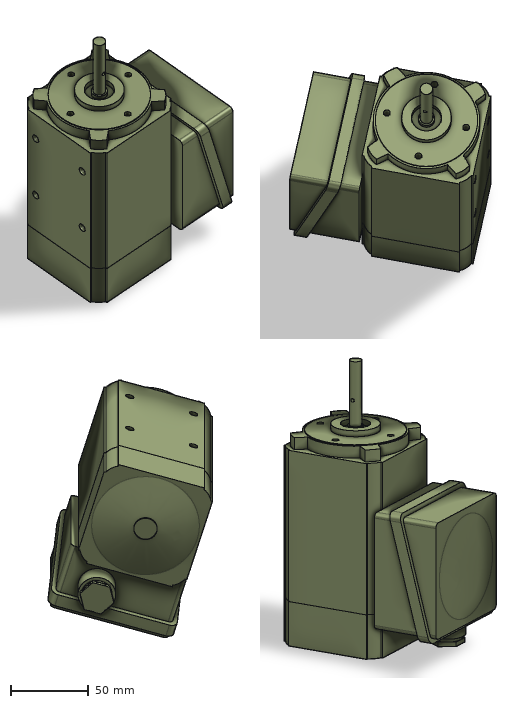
import cadquery as cq


MOTOR_HALF_WIDTH = 36.5
FLAT_HALF_WIDTH = 29.0
PAD_HEIGHT = 1.2
ARC_END = MOTOR_HALF_WIDTH - PAD_HEIGHT
CORNER_RADIUS = 13.5
HOUSING_LENGTH = 102.5
CAP_LENGTH = 30.2

MOUNT_HOLE_RADIUS = 2.7
MOUNT_HOLE_DEPTH = 9.7
MOUNT_HOLE_X = 21.5
MOUNT_HOLE_LEVELS = (-21.3, -71.4)

CAP_DOME_RADIUS = 34.8
CAP_DOME_RISE = 4.3
BUTTON_RADIUS = 7.5
BUTTON_DEPTH = 0.8

FLANGE_RADIUS = 34.5
FLANGE_THICKNESS = 8.1
LUG_ROOT_WIDTH = 12.4
LUG_ROOT_DISTANCE = 33.9
LUG_TIP_WIDTH = 10.5
LUG_TIP_DISTANCE = 42.2
LUG_END_RADIUS = 17.5
FACE_RADIUS = 33.0
FACE_TOP = 8.7
BOSS_RADIUS = 16.0
BOSS_TOP = 12.8
RECESS_RADIUS = 9.7
RECESS_DEPTH = 3.9
FLANGE_HOLE_RADIUS = 2.1
FLANGE_HOLE_CIRCLE = 26.1

SHAFT_RADIUS = 4.0
SHAFT_TOP = 55.7
COLLAR_RADIUS = 5.2
COLLAR_TOP = 11.6
PIN_HOLE_RADIUS = 1.2
PIN_HOLE_LEVEL = 29.5

BOX_WIDTH = 79.0
BOX_DEPTH = 45.7
BOX_EDGE_RADIUS = 3.0
BOX_CENTER_Z = -71.2
BOX_FACE_Y = MOTOR_HALF_WIDTH + BOX_DEPTH
BOX_BOTTOM = BOX_CENTER_Z - BOX_WIDTH / 2
BOX_DOME_RADIUS = 34.8
BOX_DOME_RISE = 2.7

BAND_WIDTH = 85.0
BAND_EDGE_RADIUS = 5.0
BAND_TILT = 15.0
BAND_THICKNESS = 7.7
BAND_CENTER_Y = 64.0

GLAND_X = -15.0
GLAND_Y = 59.5
GLAND_RADIUS = 12.2
GLAND_LENGTH = 14.0
NUT_ACROSS_FLATS = 20.0
NECK_LENGTH = 2.7
NUT_LENGTH = 3.0


def cylinder(radius, bottom, top):
    """A cylinder around the Z axis."""
    return cq.Workplane("XY").workplane(offset=bottom).circle(radius).extrude(top - bottom)


def dome(radius, rise):
    """A shallow spherical cap on the XY plane, rising towards +Z."""
    ball_radius = (radius**2 + rise**2) / (2 * rise)
    profile = (
        cq.Workplane("XZ")
        .lineTo(radius, 0)
        .radiusArc((0, rise), -ball_radius)
        .close()
    )
    return profile.revolve(360, (0, 0), (0, 1))


def motor_section(bottom, top):
    """A length of the motor outline: a rounded square with a raised pad on each side."""
    outline = cq.Workplane("XY").workplane(offset=bottom).moveTo(FLAT_HALF_WIDTH, -MOTOR_HALF_WIDTH)
    corner = [
        (FLAT_HALF_WIDTH, -MOTOR_HALF_WIDTH),
        (FLAT_HALF_WIDTH, -ARC_END),
        (ARC_END, -FLAT_HALF_WIDTH),
        (MOTOR_HALF_WIDTH, -FLAT_HALF_WIDTH),
    ]
    for turn in range(4):
        pad_end, arc_start, arc_end, next_pad = corner
        if turn > 0:
            outline = outline.lineTo(*pad_end)
        outline = outline.lineTo(*arc_start).radiusArc(arc_end, -CORNER_RADIUS).lineTo(*next_pad)
        corner = [(-y, x) for x, y in corner]
    return outline.close().extrude(top - bottom)


def make_housing():
    """Motor housing with four blind mounting holes in its -Y side."""
    holes = (
        cq.Workplane("XZ", origin=(0, -MOTOR_HALF_WIDTH, 0))
        .pushPoints([(x, z) for x in (-MOUNT_HOLE_X, MOUNT_HOLE_X) for z in MOUNT_HOLE_LEVELS])
        .circle(MOUNT_HOLE_RADIUS)
        .extrude(-MOUNT_HOLE_DEPTH)
    )
    return motor_section(-HOUSING_LENGTH, 0).cut(holes)


def make_rear_cap():
    """Rear cap with a domed bottom and a round button in the middle of the dome."""
    cap_bottom = -HOUSING_LENGTH - CAP_LENGTH
    button_bottom = cap_bottom - CAP_DOME_RISE - BUTTON_DEPTH
    bottom_dome = dome(CAP_DOME_RADIUS, CAP_DOME_RISE).rotate((0, 0, 0), (1, 0, 0), 180)
    return (
        motor_section(cap_bottom, -HOUSING_LENGTH)
        .union(bottom_dome.translate((0, 0, cap_bottom)))
        .union(cylinder(BUTTON_RADIUS, button_bottom, cap_bottom))
    )


def make_lug():
    """One flange lug along +X: it narrows outwards to a rounded end and starts at the shaft axis."""
    taper = (LUG_ROOT_WIDTH - LUG_TIP_WIDTH) / (LUG_TIP_DISTANCE - LUG_ROOT_DISTANCE)
    axis_half_width = (LUG_ROOT_WIDTH + taper * LUG_ROOT_DISTANCE) / 2
    tip_half_width = LUG_TIP_WIDTH / 2
    return (
        cq.Workplane("XY")
        .moveTo(0, -axis_half_width)
        .lineTo(LUG_TIP_DISTANCE, -tip_half_width)
        .radiusArc((LUG_TIP_DISTANCE, tip_half_width), -LUG_END_RADIUS)
        .lineTo(0, axis_half_width)
        .close()
        .extrude(FLANGE_THICKNESS)
    )


def make_flange():
    """Round flange with four corner lugs, a raised face and a recessed boss around the shaft."""
    screw_holes = (
        cq.Workplane("XY")
        .polarArray(FLANGE_HOLE_CIRCLE, 0, 360, 4)
        .circle(FLANGE_HOLE_RADIUS)
        .extrude(FACE_TOP)
    )
    plate = cylinder(FLANGE_RADIUS, 0, FLANGE_THICKNESS)
    for angle in (45, 135, 225, 315):
        plate = plate.union(make_lug().rotate((0, 0, 0), (0, 0, 1), angle))
    return (
        plate
        .union(cylinder(FACE_RADIUS, 0, FACE_TOP))
        .union(cylinder(BOSS_RADIUS, 0, BOSS_TOP))
        .cut(cylinder(RECESS_RADIUS, BOSS_TOP - RECESS_DEPTH, BOSS_TOP))
        .cut(cylinder(COLLAR_RADIUS, 0, BOSS_TOP))
        .cut(screw_holes)
    )


def make_shaft():
    """Output shaft with a collar inside the flange and a cross hole for a pin."""
    pin_hole = (
        cq.Workplane("YZ")
        .center(0, PIN_HOLE_LEVEL)
        .circle(PIN_HOLE_RADIUS)
        .extrude(SHAFT_RADIUS, both=True)
    )
    return (
        cylinder(COLLAR_RADIUS, 0, COLLAR_TOP)
        .union(cylinder(SHAFT_RADIUS, 0, SHAFT_TOP))
        .cut(pin_hole)
    )


def rounded_block(width, edge_radius):
    """A square block as deep as the terminal box, its four edges along Y rounded."""
    block = cq.Workplane("XY").box(width, BOX_DEPTH, width).edges("|Y").fillet(edge_radius)
    return block.translate((0, MOTOR_HALF_WIDTH + BOX_DEPTH / 2, BOX_CENTER_Z))


def make_terminal_box():
    """Terminal box with a domed face and a slanted band around it, cleared for the gland."""
    band_slab = (
        cq.Workplane("XY")
        .box(2 * BAND_WIDTH, BAND_THICKNESS, 2 * BAND_WIDTH)
        .rotate((0, 0, 0), (1, 0, 0), BAND_TILT)
        .translate((0, BAND_CENTER_Y, BOX_CENTER_Z))
    )
    band = rounded_block(BAND_WIDTH, BAND_EDGE_RADIUS).intersect(band_slab)
    face_dome = (
        dome(BOX_DOME_RADIUS, BOX_DOME_RISE)
        .rotate((0, 0, 0), (1, 0, 0), -90)
        .translate((0, BOX_FACE_Y, BOX_CENTER_Z))
    )
    gland_clearance = cylinder(GLAND_RADIUS, BOX_BOTTOM - GLAND_LENGTH, BOX_BOTTOM)
    return (
        rounded_block(BOX_WIDTH, BOX_EDGE_RADIUS)
        .union(band)
        .union(face_dome)
        .cut(gland_clearance.translate((GLAND_X, GLAND_Y, 0)))
    )


def make_cable_gland():
    """Cable gland under the box: a round body, a short neck and a hexagon nut."""
    body_bottom = BOX_BOTTOM - GLAND_LENGTH
    neck_bottom = body_bottom - NECK_LENGTH
    nut = (
        cq.Workplane("XY")
        .workplane(offset=neck_bottom - NUT_LENGTH)
        .polygon(6, NUT_ACROSS_FLATS, circumscribed=True)
        .extrude(NUT_LENGTH)
        .rotate((0, 0, 0), (0, 0, 1), 30)
    )
    gland = (
        cylinder(GLAND_RADIUS, body_bottom, BOX_BOTTOM)
        .union(cylinder(NUT_ACROSS_FLATS / 2, neck_bottom, body_bottom))
        .union(nut)
    )
    return gland.translate((GLAND_X, GLAND_Y, 0))


housing = make_housing()
rear_cap = make_rear_cap()
flange = make_flange()
shaft = make_shaft()
terminal_box = make_terminal_box()
cable_gland = make_cable_gland()

result = cq.Compound.makeCompound(
    [
        housing.val(),
        rear_cap.val(),
        flange.val(),
        shaft.val(),
        terminal_box.val(),
        cable_gland.val(),
    ]
)